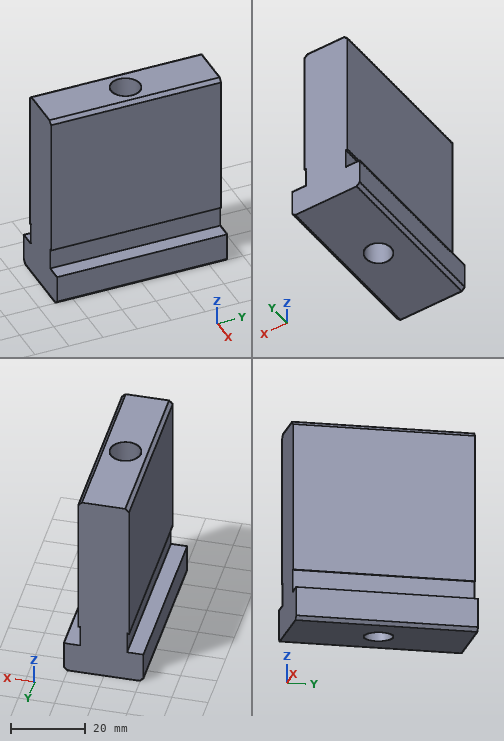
import cadquery as cq

height = 57.0
length = 50.0

foot_width = 22.0
foot_height = 9.0
foot_chamfer = 1.0

neck_width = 13.0
neck_height = 6.15

blade_width = 14.0
blade_chamfer = 1.0

wide_bore_diameter = 8.5
narrow_bore_diameter = 8.0

blade_base = foot_height + neck_height
blade_height = height - blade_base


def bar(width, bar_height, base):
    """Full-length rectangular bar, centred on Z, standing on the given level."""
    return cq.Workplane("XY", origin=(0, 0, base)).box(
        width, length, bar_height, centered=(True, True, False)
    )


foot = bar(foot_width, foot_height, 0).faces("<Z").edges("|Y").chamfer(foot_chamfer)
neck = bar(neck_width, neck_height, foot_height)
blade = bar(blade_width, blade_height, blade_base).faces(">Z").edges("|Y").chamfer(blade_chamfer)

body = foot.union(neck).union(blade)

top_face = body.faces(">Z").workplane()
result = top_face.cboreHole(narrow_bore_diameter, wide_bore_diameter, blade_height)